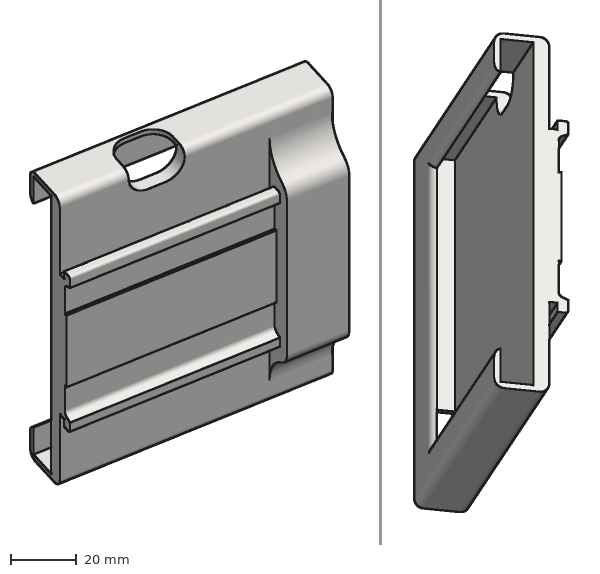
import cadquery as cq
import math

body_depth = 17.4
body_length = 97.5
body_height = 117.5
edge_radius = 3.0
wall = 2.0
cavity_back = 12.3
mid_height = body_height / 2

window_border = 13.0
window_end_border = 20.0
rim_radius = 2.9

port_depth = 10.0
port_bottom = 16.9
port_height = 15.4
notch_start = 24.7
notch_width = 20.0
notch_face = 3.3
notch_radius = 7.0
notch_depth = 10.0

mount_end = 97.3

rail_half_height = 31.7
lip_half_height = 28.7
lip_underside = 20.0
rail_back = 23.4
lip_slope_start = 27.5
lip_slope_end = 26.2
rail_face = 20.3
rail_corner_radius = 0.9
rail_root_radius = 1.8
pad_half_height = 14.7
pad_back = 21.3

block_back = 27.5
block_start = 75.0
block_half_height = 49.1
block_sweep_angle = 60.0
block_corner_radius = 6.0


def box(x0, x1, y0, y1, z0, z1):
    """Box between two opposite corners."""
    return cq.Workplane("XY").box(x1 - x0, y1 - y0, z1 - z0, centered=False).translate((x0, y0, z0))


def extrude_along_y(half_outline, y0, y1):
    """Mirror an (X, height above middle) outline about mid height and extrude it from y0 to y1."""
    lower = [(x, -height) for x, height in reversed(half_outline)]
    points = [(x, mid_height + height) for x, height in half_outline + lower]
    profile = cq.Workplane("XZ", origin=(0, y0, 0)).polyline(points).close()
    return profile.extrude(y0 - y1)


def fillet_at(solid, x, half_height, radius):
    """Round the pair of Y edges at depth x, above and below mid height."""
    tolerance = 0.01
    for z in (mid_height - half_height, mid_height + half_height):
        y_middle = solid.val().BoundingBox().center.y
        low = (x - tolerance, y_middle - tolerance, z - tolerance)
        high = (x + tolerance, y_middle + tolerance, z + tolerance)
        solid = solid.edges(cq.selectors.BoxSelector(low, high)).fillet(radius)
    return solid


def make_shell():
    shell = box(0, body_depth, 0, body_length, 0, body_height).edges("|Y").fillet(edge_radius)
    return shell.cut(box(wall, cavity_back, 0, body_length - wall, wall, body_height - wall))


def make_window():
    """Window cutter: its sides flare out along an arc towards X = 0."""
    setback = math.sqrt(rim_radius**2 - (rim_radius - wall) ** 2)
    arc_middle = wall / 2
    middle_setback = math.sqrt(rim_radius**2 - (rim_radius - arc_middle) ** 2)
    z_low = window_border
    z_high = body_height - window_border
    y_end = body_length - window_end_border

    flare_z = (
        cq.Workplane("XZ")
        .moveTo(0, z_low - setback)
        .threePointArc((arc_middle, z_low - setback + middle_setback), (wall, z_low))
        .lineTo(wall, z_high)
        .threePointArc((arc_middle, z_high + setback - middle_setback), (0, z_high + setback))
        .close()
        .extrude(-body_length)
    )
    flare_y = (
        cq.Workplane("XY")
        .lineTo(wall, 0)
        .lineTo(wall, y_end)
        .threePointArc((arc_middle, y_end + setback - middle_setback), (0, y_end + setback))
        .close()
        .extrude(body_height)
    )
    return flare_z.intersect(flare_y)


def make_port():
    return box(
        wall, wall + port_depth, body_length - wall, body_length, port_bottom, port_bottom + port_height
    )


def make_notch():
    """Rounded cut through the top wall, running down into the back wall."""
    notch_end = notch_start + notch_width
    top_cut = box(notch_face, body_depth, notch_start, notch_end, body_height - wall, body_height)
    top_cut = top_cut.edges("|Z and <X").fillet(notch_radius)
    notch_bottom = body_height - notch_depth
    back_cut = box(cavity_back, body_depth, notch_start, notch_end, notch_bottom, body_height)
    back_cut = back_cut.edges("|X and <Z").fillet(notch_radius)
    return top_cut.union(back_cut)


def make_rail():
    half_outline = [
        (cavity_back, lip_half_height),
        (lip_underside, lip_half_height),
        (lip_underside, rail_half_height),
        (rail_back, rail_half_height),
        (rail_back, lip_slope_start),
        (rail_face, lip_slope_end),
        (rail_face, pad_half_height),
        (pad_back, pad_half_height),
    ]
    rail = extrude_along_y(half_outline, 0, mount_end)
    rail = fillet_at(rail, rail_back, rail_half_height, rail_corner_radius)
    return fillet_at(rail, rail_face, lip_slope_end, rail_root_radius)


def make_block():
    """Block whose ends sweep from the body to its back face along two tangent arcs."""
    sweep = math.radians(block_sweep_angle)
    half_sweep = sweep / 2
    root_radius = (block_back - body_depth) / (1 - math.cos(sweep)) - block_corner_radius
    back_half_height = block_half_height - (root_radius + block_corner_radius) * math.sin(sweep)

    root_middle = (
        body_depth + root_radius * (1 - math.cos(half_sweep)),
        block_half_height - root_radius * math.sin(half_sweep),
    )
    joint = (
        body_depth + root_radius * (1 - math.cos(sweep)),
        block_half_height - root_radius * math.sin(sweep),
    )
    corner_middle = (
        block_back - block_corner_radius * (1 - math.cos(half_sweep)),
        back_half_height + block_corner_radius * math.sin(half_sweep),
    )
    half_block = (
        cq.Workplane("XZ", origin=(0, block_start, mid_height))
        .moveTo(cavity_back, 0)
        .lineTo(cavity_back, block_half_height)
        .lineTo(body_depth, block_half_height)
        .threePointArc(root_middle, joint)
        .threePointArc(corner_middle, (block_back, back_half_height))
        .lineTo(block_back, 0)
        .close()
        .extrude(block_start - mount_end)
    )
    return half_block.union(half_block.mirror("XY", (0, 0, mid_height)))


body = make_shell().cut(make_window()).cut(make_port()).cut(make_notch())
result = body.union(make_rail()).union(make_block())